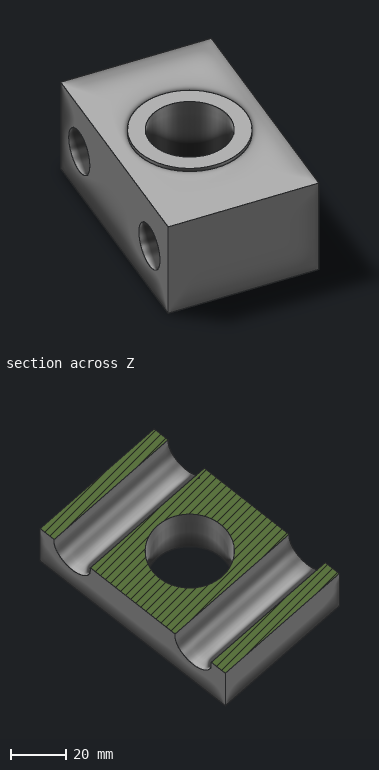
import cadquery as cq

length = 92.0
width = 60.0
block_height = 40.0

collar_diameter = 45.0
collar_height = 1.5
bore_diameter = 32.0

cross_hole_diameter = 18.0
cross_hole_spacing = 60.0
cross_hole_height = 19.5


def make_block():
    """Rectangular body standing on Z = 0, centred in X and Y."""
    return cq.Workplane("XY").box(length, width, block_height, centered=(True, True, False))


def make_collar():
    """Shallow round collar on the top face."""
    return (
        cq.Workplane("XY")
        .workplane(offset=block_height)
        .circle(collar_diameter / 2)
        .extrude(collar_height)
    )


def make_bore():
    """Vertical bore through the block and the collar."""
    return cq.Workplane("XY").circle(bore_diameter / 2).extrude(block_height + collar_height)


def make_cross_holes():
    """Two through holes along Y, one on each side of the bore."""
    hole_centres = [(side * cross_hole_spacing / 2, cross_hole_height) for side in (-1, 1)]
    return (
        cq.Workplane("XZ")
        .pushPoints(hole_centres)
        .circle(cross_hole_diameter / 2)
        .extrude(width / 2, both=True)
    )


result = make_block().union(make_collar()).cut(make_bore()).cut(make_cross_holes())